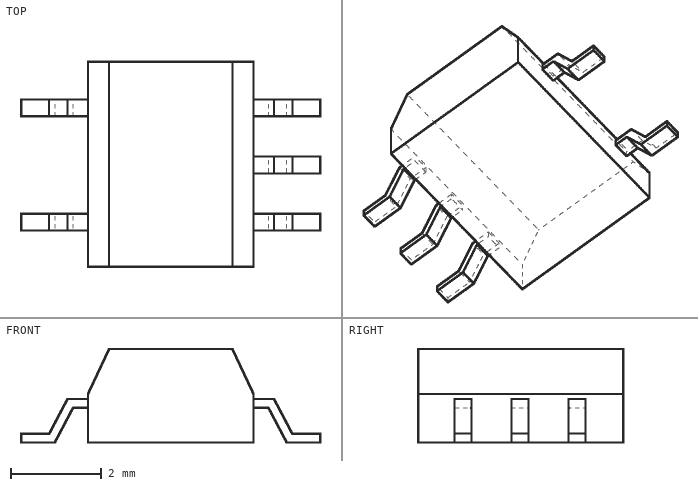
import cadquery as cq

overall_span = 6.64
body_length = 4.55
body_height = 2.08

body_width = 3.68
body_top_width = 2.735
shoulder_height = 1.075

lead_thickness = 0.2
lead_width = 0.38
lead_pitch = 1.27
lead_row_offset = -0.0165
lead_top_height = 0.97
foot_length = 0.625
shoulder_length = 0.45
bend_shift = 0.125
lead_embed = 0.065

left_lead_rows = (-1, 1)
right_lead_rows = (-1, 0, 1)


def make_body():
    """Six-sided cross-section with sloping upper flanks, extruded along Y."""
    half_width = body_width / 2
    half_top = body_top_width / 2
    return (
        cq.Workplane("XZ")
        .polyline([
            (-half_width, 0),
            (half_width, 0),
            (half_width, shoulder_height),
            (half_top, body_height),
            (-half_top, body_height),
            (-half_width, shoulder_height),
        ])
        .close()
        .extrude(body_length / 2, both=True)
    )


def make_lead(side, row):
    """Gull-wing lead; side is -1 or 1 along X, row counts pitches along Y."""
    tip = overall_span / 2
    heel = tip - foot_length
    knee = body_width / 2 + shoulder_length
    root = body_width / 2 - lead_embed
    lead_underside = lead_top_height - lead_thickness
    profile = [
        (root, lead_top_height),
        (knee, lead_top_height),
        (heel, lead_thickness),
        (tip, lead_thickness),
        (tip, 0),
        (heel - bend_shift, 0),
        (knee - bend_shift, lead_underside),
        (root, lead_underside),
    ]
    return (
        cq.Workplane("XZ")
        .polyline([(side * x, z) for x, z in profile])
        .close()
        .extrude(lead_width / 2, both=True)
        .translate((0, row * lead_pitch + lead_row_offset, 0))
    )


result = make_body()
for row in left_lead_rows:
    result = result.union(make_lead(-1, row))
for row in right_lead_rows:
    result = result.union(make_lead(1, row))